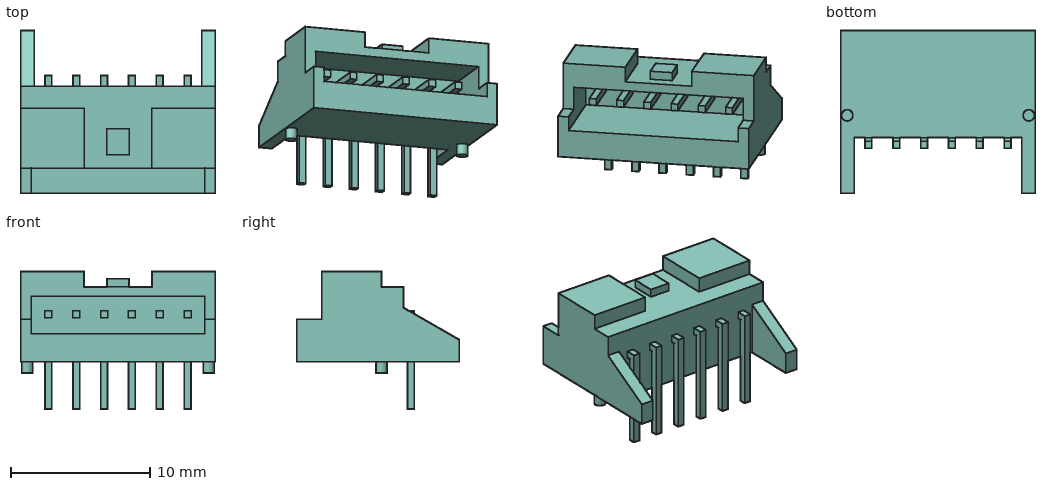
import cadquery as cq

width = 14.0
housing_depth = 7.7
overall_depth = 11.7
height = 6.5

notch_width = 4.87
notch_drop = 1.1
deck_height = height - notch_drop
raised_back = 6.1
shelf_depth = 1.8
shelf_height = 3.07

cavity_width = 12.45
cavity_floor = 2.03
cavity_ceiling = 4.72
cavity_depth = raised_back

arm_width = 1.0
arm_root_height = 3.89
arm_tip_height = 1.6

tab_width = 1.6
tab_front = 2.77
tab_length = 1.86
tab_height = 0.6

pin_count = 6
pin_row_span = 10.0
pin_pitch = pin_row_span / (pin_count - 1)
pin_size = 0.5
pin_height = 3.42
pin_tip = 2.67
pin_back = 8.47
pin_drop = 3.4

peg_diameter = 0.81
peg_length = 0.8
peg_inset = 0.48


def box(x_size, y_start, y_end, z_start, z_end, x_center=0.0):
    """Box centred on x_center and spanning the given Y and Z ranges."""
    return (
        cq.Workplane("XY")
        .box(x_size, y_end - y_start, z_end - z_start, centered=(True, False, False))
        .translate((x_center, y_start, z_start))
    )


def side_extrusion(points, x_size, x_center=0.0):
    """Closed Y-Z outline extruded along X, centred on x_center."""
    profile = cq.Workplane("YZ").polyline(points).close()
    return profile.extrude(x_size / 2, both=True).translate((x_center, 0, 0))


def make_housing():
    outline = [
        (0, 0),
        (housing_depth, 0),
        (housing_depth, deck_height),
        (raised_back, deck_height),
        (raised_back, height),
        (shelf_depth, height),
        (shelf_depth, shelf_height),
        (0, shelf_height),
    ]
    notch = box(notch_width, 0, raised_back, deck_height, height)
    cavity = box(cavity_width, 0, cavity_depth, cavity_floor, cavity_ceiling)
    return side_extrusion(outline, width).cut(notch).cut(cavity)


def make_arm(side):
    outline = [
        (housing_depth, 0),
        (overall_depth, 0),
        (overall_depth, arm_tip_height),
        (housing_depth, arm_root_height),
    ]
    return side_extrusion(outline, arm_width, side * (width - arm_width) / 2)


def make_tab():
    return box(tab_width, tab_front, tab_front + tab_length, deck_height, deck_height + tab_height)


def make_pin(x_center):
    """Horizontal contact with a square-cornered tail bent down behind the housing."""
    pin_top = pin_height + pin_size / 2
    contact = box(pin_size, pin_tip, pin_back, pin_top - pin_size, pin_top, x_center)
    tail = box(pin_size, pin_back - pin_size, pin_back, -pin_drop, pin_top, x_center)
    return contact.union(tail)


def make_peg(side):
    x_center = side * (width / 2 - peg_inset)
    return cq.Workplane("XY").center(x_center, raised_back).circle(peg_diameter / 2).extrude(-peg_length)


result = make_housing().union(make_tab())
for side in (-1, 1):
    result = result.union(make_arm(side)).union(make_peg(side))
for index in range(pin_count):
    pin_x = index * pin_pitch - pin_row_span / 2
    result = result.union(make_pin(pin_x))